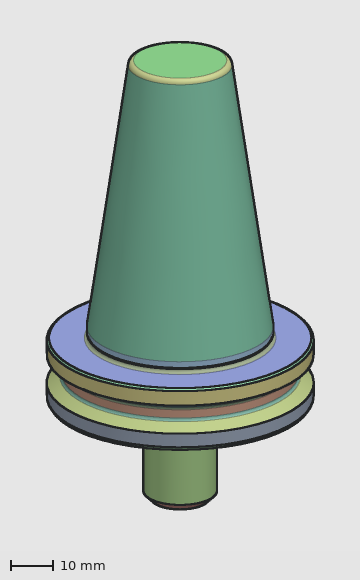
import cadquery as cq
import math

total_length = 112.7
flange_radius = 63.5 / 2

pin_radius = 8.8
pin_chamfer = 2.0
pin_root_fillet = 3.0

flange_bottom = 25.5
flange_thickness = 15.9
flange_chamfer_width = 0.6
flange_bottom_chamfer_height = 0.9
flange_top_chamfer_height = 0.6
groove_radius = 56.4 / 2
groove_bottom_edge = 29.9
groove_top_edge = 37.1
groove_wall_angle = 30.0
groove_fillet = 0.9

neck_radius = 21.9
neck_height = 1.0
neck_shoulder_height = 0.5
neck_fillet = 0.9

land_radius = 22.2
taper_bottom = 44.4
taper_ratio = 7 / 24
tip_fillet = 1.4

edge_tolerance = 0.01

flange_top = flange_bottom + flange_thickness
neck_top = flange_top + neck_height
taper_tip_radius = land_radius - (total_length - taper_bottom) * taper_ratio / 2
groove_wall_height = (flange_radius - groove_radius) * math.tan(math.radians(groove_wall_angle))
flange_face_radius = flange_radius - flange_chamfer_width


def round_edge(body, radius, height, fillet):
    """Round the circular edge of the given radius at the given height."""
    reach = radius + edge_tolerance
    low_corner = (-reach, -reach, height - edge_tolerance)
    high_corner = (reach, reach, height + edge_tolerance)
    edges_up_to_radius = cq.selectors.BoxSelector(low_corner, high_corner, boundingbox=True)
    largest_edge = cq.selectors.RadiusNthSelector(-1)
    return body.edges(edges_up_to_radius).edges(largest_edge).fillet(fillet)


half_section = [
    (0, 0),
    (pin_radius - pin_chamfer, 0),
    (pin_radius, pin_chamfer),
    (pin_radius, flange_bottom),
    (flange_face_radius, flange_bottom),
    (flange_radius, flange_bottom + flange_bottom_chamfer_height),
    (flange_radius, groove_bottom_edge),
    (groove_radius, groove_bottom_edge + groove_wall_height),
    (groove_radius, groove_top_edge - groove_wall_height),
    (flange_radius, groove_top_edge),
    (flange_radius, flange_top - flange_top_chamfer_height),
    (flange_face_radius, flange_top),
    (neck_radius, flange_top),
    (neck_radius, neck_top),
    (land_radius, neck_top + neck_shoulder_height),
    (land_radius, taper_bottom),
    (taper_tip_radius, total_length),
    (0, total_length),
]
body = cq.Workplane("XZ").polyline(half_section).close().revolve(360, (0, 0, 0), (0, 1, 0))

rounded_corners = [
    (pin_radius, flange_bottom, pin_root_fillet),
    (groove_radius, groove_bottom_edge + groove_wall_height, groove_fillet),
    (groove_radius, groove_top_edge - groove_wall_height, groove_fillet),
    (neck_radius, flange_top, neck_fillet),
    (taper_tip_radius, total_length, tip_fillet),
]
for radius, height, fillet in rounded_corners:
    body = round_edge(body, radius, height, fillet)

result = body